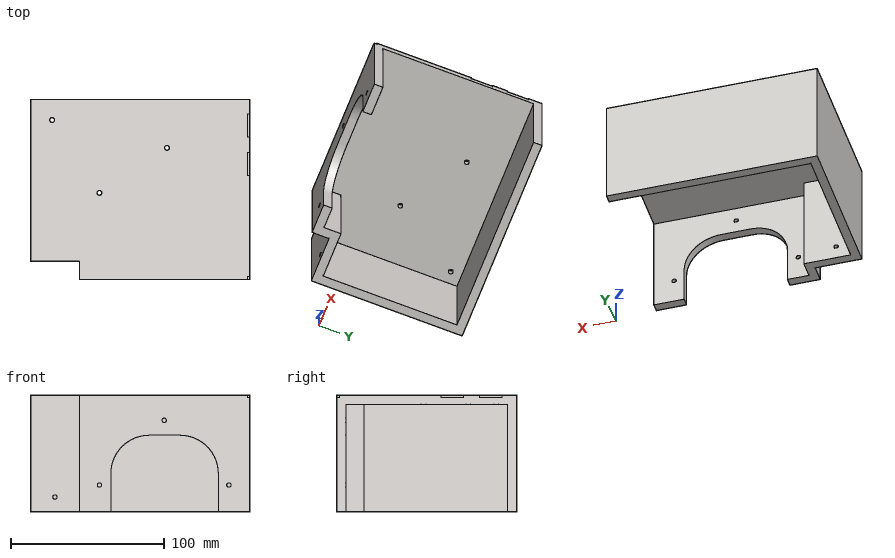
import cadquery as cq

LENGTH = 142.9
WIDTH = 117.5
HEIGHT = 76.2
WALL = 6.0

STEP_LENGTH = 31.7
STEP_DEPTH = 11.9

ARCH_CENTER_X = 87.3
ARCH_WIDTH = 70.0
ARCH_HEIGHT = 50.0
ARCH_RADIUS = 25.0

FRONT_HOLE_DIAMETER = 2.9
ARCH_HOLES_CENTER_X = 87.0
ARCH_HOLES_BASE_Z = 17.6
ARCH_HOLE_OFFSET = 42.2
STEP_HOLE_Z = 9.7

TOP_HOLE_DIAMETER = 3.0
TOP_HOLES = [(14.0, 104.0), (88.9, 85.9), (44.9, 56.6)]

NOTCH_SIZE = 1.5
CORNER_NOTCH_LENGTH = 2.0
EDGE_NOTCH_LENGTH = 14.9
EDGE_NOTCH_STARTS = [67.9, 93.0]


def stepped_block(inset, height):
    """Block with the notched plan outline, inset on every side except +X."""
    step_x = STEP_LENGTH + inset
    step_y = STEP_DEPTH + inset
    back_y = WIDTH - inset
    return (
        cq.Workplane("XY")
        .moveTo(step_x, inset)
        .lineTo(LENGTH, inset)
        .lineTo(LENGTH, back_y)
        .lineTo(inset, back_y)
        .lineTo(inset, step_y)
        .lineTo(step_x, step_y)
        .close()
        .extrude(height)
    )


def hollow_shell():
    """Cover with a top panel and side walls, open at the bottom and at +X."""
    cavity = stepped_block(WALL, HEIGHT - WALL)
    return stepped_block(0, HEIGHT).cut(cavity)


def arch_opening():
    """Round-shouldered opening through the front wall, reaching the bottom edge."""
    return (
        cq.Workplane("XY")
        .box(ARCH_WIDTH, WALL, ARCH_HEIGHT, centered=(True, False, False))
        .edges("|Y and >Z")
        .fillet(ARCH_RADIUS)
        .translate((ARCH_CENTER_X, 0, 0))
    )


def front_hole(x, z, face_y):
    """Cylinder through a front wall whose outer face lies at face_y."""
    return (
        cq.Workplane("XZ", origin=(x, face_y, z))
        .circle(FRONT_HOLE_DIAMETER / 2)
        .extrude(-WALL)
    )


def top_holes():
    """Cylinders through the top panel."""
    return (
        cq.Workplane("XY", origin=(0, 0, HEIGHT - WALL))
        .pushPoints(TOP_HOLES)
        .circle(TOP_HOLE_DIAMETER / 2)
        .extrude(WALL)
    )


def edge_notch(start_y, length):
    """Square-section notch in the upper +X edge, running toward +Y."""
    return (
        cq.Workplane("XY")
        .box(NOTCH_SIZE, length, NOTCH_SIZE, centered=False)
        .translate((LENGTH - NOTCH_SIZE, start_y, HEIGHT - NOTCH_SIZE))
    )


result = hollow_shell().cut(arch_opening()).cut(top_holes())

for shift_x, shift_z in [(-ARCH_HOLE_OFFSET, 0), (0, ARCH_HOLE_OFFSET), (ARCH_HOLE_OFFSET, 0)]:
    result = result.cut(front_hole(ARCH_HOLES_CENTER_X + shift_x, ARCH_HOLES_BASE_Z + shift_z, 0))

result = result.cut(front_hole(STEP_LENGTH / 2, STEP_HOLE_Z, STEP_DEPTH))

result = result.cut(edge_notch(0, CORNER_NOTCH_LENGTH))
for notch_start in EDGE_NOTCH_STARTS:
    result = result.cut(edge_notch(notch_start, EDGE_NOTCH_LENGTH))